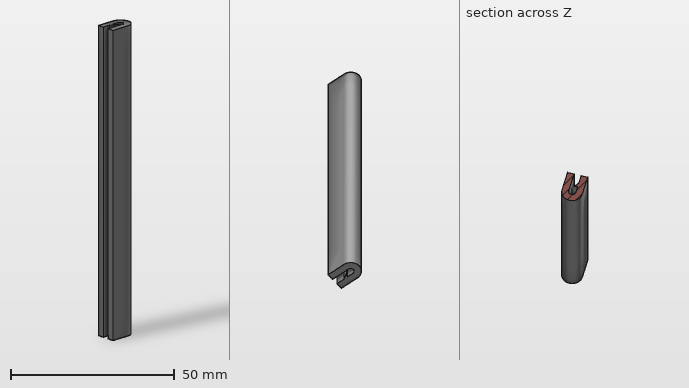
import cadquery as cq

length = 100.0
width = 6.5
depth = 9.5
wall = 2.2
back_wall = 2.3

lip_root_low = 2.7
lip_root_high = 4.1
lip_tip_height = 5.1
lip_reach = 1.5
lip_bend_reach = 0.7
lip_bend_height = 4.3

outer_radius = width / 2
slot_radius = outer_radius - wall
open_end = -depth / 2
outer_center = depth / 2 - outer_radius
slot_end = depth / 2 - back_wall
slot_center = slot_end - slot_radius


def channel():
    """U-shaped profile with a round back and a round-ended slot, open towards -Y."""
    return (
        cq.Workplane("XY")
        .workplane(offset=-length / 2)
        .moveTo(-outer_radius, open_end)
        .lineTo(-outer_radius, outer_center)
        .threePointArc((0, depth / 2), (outer_radius, outer_center))
        .lineTo(outer_radius, open_end)
        .lineTo(slot_radius, open_end)
        .lineTo(slot_radius, slot_center)
        .threePointArc((0, slot_end), (-slot_radius, slot_center))
        .lineTo(-slot_radius, open_end)
        .close()
        .extrude(length)
    )


def lip():
    """Pointed lip that leans from the -X leg towards the closed end."""
    embedded_x = -slot_radius - wall / 2
    slot_face = -slot_radius
    return (
        cq.Workplane("XY")
        .workplane(offset=-length / 2)
        .moveTo(embedded_x, open_end + lip_root_low)
        .lineTo(slot_face, open_end + lip_root_low)
        .lineTo(slot_face + lip_reach, open_end + lip_tip_height)
        .threePointArc(
            (slot_face + lip_bend_reach, open_end + lip_bend_height),
            (slot_face, open_end + lip_root_high),
        )
        .lineTo(embedded_x, open_end + lip_root_high)
        .close()
        .extrude(length)
    )


result = channel().union(lip())